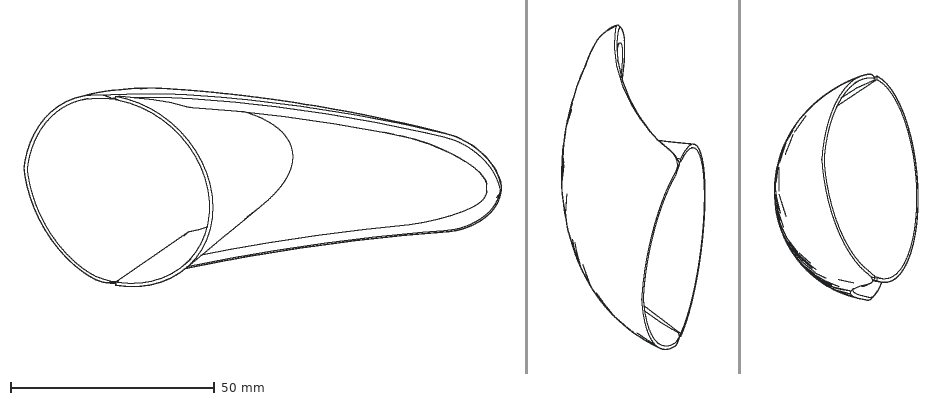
import cadquery as cq
import math


length = 113.4
height = 41.5
base_diameter = 51.5
base_radius = base_diameter / 2
taper_angle = math.radians(9.8)

nose_height = 3.6
nose_lift_length = 20.4
crest_x = 99.8
back_fullness = 2.2
back_steepness = 0.64

lip_start_x = 26.1
lip_height = 35.8
lip_bevel = 0.7
bevel_limit = 0.3
lip_fullness = 1.6
lip_steepness = 0.81

springing_drop = 2.3
springing_fullness = 1.8

wall = 0.9
bowl_inset = 3.2
bowl_round_x = 88.5
bowl_end_x = 110.0

skirt_lean = 0.22
skirt_top = 19.8
skirt_narrowing = 0.3

station_count = 24
arch_steps = 12
end_gap = 0.01
margin = 11.3
lip_overlap = 1.4


def tip_factor(x, round_x, end_x):
    """Elliptic fall-off from 1 at round_x to 0 at end_x."""
    reach = max(0.0, (x - round_x) / (end_x - round_x))
    return math.sqrt(1 - reach**2)


def half_width(x, inset):
    """Plan half width: base circle with straight tangents towards the tip."""
    radius = base_radius - inset
    from_centre = x - base_radius
    if from_centre < radius * math.sin(taper_angle):
        return math.sqrt(radius**2 - from_centre**2)
    return (radius - from_centre * math.sin(taper_angle)) / math.cos(taper_angle)


def lip_level(x):
    remaining = min(1.0, (length - x) / (length - lip_start_x))
    return lip_height * (1 - remaining**lip_fullness) ** lip_steepness


def springing_level(x):
    remaining = (length - x) / (length - lip_start_x)
    return lip_height * (1 - remaining**springing_fullness) - springing_drop


def back_level(x, inset):
    """Height of the back along the middle plane, before the tip rounds off."""
    remaining = max(0.0, 1 - (x - inset) / crest_x)
    rise = (height - nose_height) * (1 - remaining**back_fullness) ** back_steepness
    return nose_height + rise - inset


def cross_section(x, inset, round_x, end_x, overlap):
    """Elliptic arch from lip to lip over the back, with a bevelled underside lowered by the overlap."""
    fall = tip_factor(x, round_x, end_x)
    lip = lip_level(x)
    crown = lip + (back_level(x, inset) - lip) * fall
    springing = springing_level(x)
    rise = crown - springing
    lip_angle = math.asin((lip - springing) / rise)
    half = half_width(x, inset) * fall / math.cos(lip_angle)
    start_angle = math.asin((lip - overlap - springing) / rise)

    arch_points = []
    for i in range(arch_steps + 1):
        angle = start_angle + (math.pi - 2 * start_angle) * i / arch_steps
        arch_points.append(cq.Vector(x, springing + rise * math.sin(angle), -half * math.cos(angle)))
    arch = cq.Edge.makeSpline(arch_points)
    bevel = min(lip_bevel, half * bevel_limit)
    rim = [
        arch_points[-1],
        arch_points[-1] + cq.Vector(0, -bevel, -bevel),
        arch_points[0] + cq.Vector(0, -bevel, bevel),
        arch_points[0],
    ]
    underside = [cq.Edge.makeLine(rim[i], rim[i + 1]) for i in range(3)]
    return cq.Wire.assembleEdges([arch] + underside)


def handle_form(inset, round_x, end_x, overlap):
    """Solid between lip and back, lofted through sections that stand closer together near both ends."""
    first = inset + end_gap
    span = end_x - end_gap - first
    sections = []
    for i in range(station_count + 1):
        x = first + span * (1 - math.cos(math.pi * i / station_count)) / 2
        sections.append(cross_section(x, inset, round_x, end_x, overlap))
    return cq.Workplane(cq.Solid.makeLoft(sections))


def skirt_section(level, inset, wide_rear):
    """Half-round front; a wide rear runs past the sides and the nose of the handle."""
    half = base_radius - skirt_narrowing * level - inset
    front = base_diameter + skirt_lean * level - inset
    centre = front - half
    outline = (
        cq.Workplane("XZ", origin=(0, level, 0))
        .moveTo(centre, -half)
        .threePointArc((front, 0), (centre, half))
    )
    if wide_rear:
        outline = (
            outline.lineTo(centre, base_diameter)
            .lineTo(-margin, base_diameter)
            .lineTo(-margin, -base_diameter)
            .lineTo(centre, -base_diameter)
        )
    return outline.close().val()


def skirt_form(inset, bottom, top, wide_rear):
    sections = [skirt_section(level, inset, wide_rear) for level in (bottom, top)]
    return cq.Workplane(cq.Solid.makeLoft(sections, True))


def front_skirt(inset):
    """Part of the skirt that stands between the base and the lever."""
    return skirt_form(inset, 0, skirt_top, False)


def hub_space(inset):
    """Everything behind the skirt front, from below the base to above the back."""
    return skirt_form(inset, -margin, height + margin, True)


def above_base():
    slope = nose_height / nose_lift_length
    return (
        cq.Workplane("XY")
        .moveTo(-margin, nose_height + slope * margin)
        .lineTo(nose_lift_length, 0)
        .lineTo(length + margin, 0)
        .lineTo(length + margin, height + margin)
        .lineTo(-margin, height + margin)
        .close()
        .extrude(base_diameter, both=True)
    )


hub_hollow = (
    handle_form(wall, crest_x, length - wall, lip_overlap)
    .intersect(hub_space(wall))
    .union(front_skirt(wall))
)
bowl = handle_form(bowl_inset, bowl_round_x, bowl_end_x, lip_overlap).cut(hub_space(0))
outer = handle_form(0, crest_x, length, 0)
handle = outer.union(front_skirt(0)).intersect(above_base())
result = handle.cut(hub_hollow).cut(bowl)